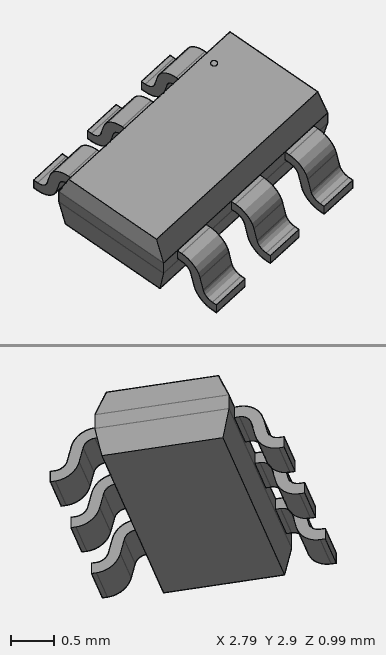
import cadquery as cq
import math

span = 2.79
body_length = 2.9
top_z = 0.99

body_width = 1.6
belt_top_z = 0.675
belt_bottom_z = 0.48
body_bottom_z = 0.102
top_side_inset = 0.13
bottom_side_inset = 0.078
end_inset = 0.025

lead_width = 0.508
lead_pitch = 0.95
lead_thickness = 0.148
lead_top_z = 0.67
inner_radius = 0.145
outer_radius = inner_radius + lead_thickness
bend_angle = 76.0
foot_flat = 0.06

mark_diameter = 0.08
mark_x = -0.508
mark_y = 0.957
mark_depth = 0.003


def tapered_half(start_z, end_z, side_inset):
    """Loft from the full belt outline to the smaller outer face at end_z."""
    return (
        cq.Workplane("XY", origin=(0, 0, start_z))
        .rect(body_width, body_length)
        .workplane(offset=end_z - start_z)
        .rect(body_width - 2 * side_inset, body_length - 2 * end_inset)
        .loft(combine=True, ruled=True)
    )


def make_body():
    belt = cq.Workplane("XY", origin=(0, 0, belt_bottom_z)).rect(body_width, body_length)
    belt = belt.extrude(belt_top_z - belt_bottom_z)
    upper = tapered_half(belt_top_z, top_z, top_side_inset)
    lower = tapered_half(belt_bottom_z, body_bottom_z, bottom_side_inset)
    return belt.union(upper).union(lower)


def arc_point(center, radius, angle):
    """Point on a circle in the XZ plane, with the angle in degrees from +X."""
    turn = math.radians(angle)
    return (center[0] + radius * math.cos(turn), center[1] + radius * math.sin(turn))


def make_lead():
    """Middle lead on the -X side: foot, rising bend, sloped leg, falling bend, shoulder."""
    toe_x = -span / 2
    body_x = -body_width / 2
    lead_bottom_z = lead_top_z - lead_thickness

    bend = math.radians(bend_angle)
    radii_sum = inner_radius + outer_radius
    low_center = (toe_x + foot_flat, outer_radius)
    high_center_z = lead_top_z - outer_radius
    leg_rise = high_center_z - low_center[1] + radii_sum * math.cos(bend)
    leg_run = leg_rise / math.tan(bend)
    high_center = (low_center[0] + leg_run + radii_sum * math.sin(bend), high_center_z)

    low_end = bend_angle - 90
    low_middle = bend_angle / 2 - 90
    high_start = 90 + bend_angle
    high_middle = 90 + bend_angle / 2

    profile = (
        cq.Workplane("XZ")
        .moveTo(toe_x, 0)
        .lineTo(low_center[0], 0)
        .threePointArc(
            arc_point(low_center, outer_radius, low_middle),
            arc_point(low_center, outer_radius, low_end),
        )
        .lineTo(*arc_point(high_center, inner_radius, high_start))
        .threePointArc(
            arc_point(high_center, inner_radius, high_middle),
            arc_point(high_center, inner_radius, 90),
        )
        .lineTo(body_x, lead_bottom_z)
        .lineTo(body_x, lead_top_z)
        .lineTo(high_center[0], lead_top_z)
        .threePointArc(
            arc_point(high_center, outer_radius, high_middle),
            arc_point(high_center, outer_radius, high_start),
        )
        .lineTo(*arc_point(low_center, inner_radius, low_end))
        .threePointArc(
            arc_point(low_center, inner_radius, low_middle),
            arc_point(low_center, inner_radius, -90),
        )
        .lineTo(toe_x, lead_thickness)
        .close()
    )
    return profile.extrude(lead_width / 2, both=True)


def make_pin_mark():
    mark = cq.Workplane("XY", origin=(mark_x, mark_y, top_z)).circle(mark_diameter / 2)
    return mark.extrude(-mark_depth)


left_lead = make_lead()
right_lead = left_lead.mirror("YZ")

result = make_body()
for row in (-1, 0, 1):
    row_offset = (0, row * lead_pitch, 0)
    result = result.union(left_lead.translate(row_offset))
    result = result.union(right_lead.translate(row_offset))
result = result.cut(make_pin_mark())